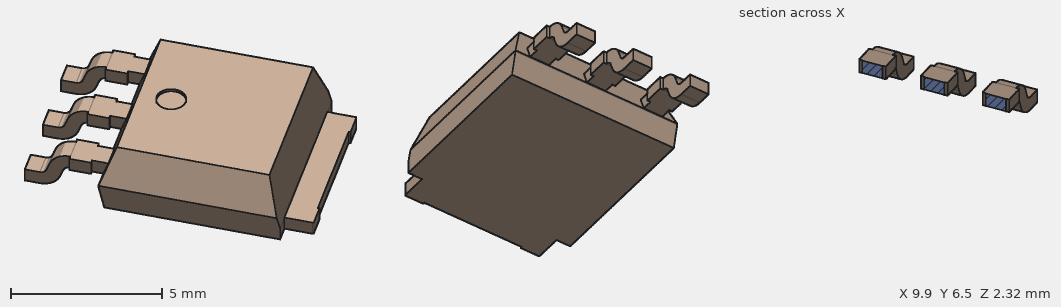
import cadquery as cq
import math

total_length = 9.9
total_height = 2.32

body_width = 6.5
belt_height = 0.92
belt_band = 0.04
body_left = 2.68
body_left_bottom = 2.88
body_right = 8.9
top_left = 3.18
top_right = 8.4
top_width = 5.5

mark_diameter = 1.0
mark_depth = 0.1
mark_x = 4.29

lead_count = 3
lead_pitch = 2.28
lead_width = 0.75
lead_thickness = 0.5
lead_step = 0.94
foot_length = 0.51
bend_inner_radius = 0.25
bend_angle = math.radians(70)
shoulder_length = 0.75
shoulder_width = 0.99
lead_end = 4.0

tab_width = 5.4
tab_thickness = 0.5
tab_notch_width = 3.9
tab_notch_depth = 0.06
tab_corner_radius = 0.04

right_slope = (body_right - top_right) / (total_height - tab_thickness)
belt_right = top_right + right_slope * (total_height - belt_height)

bend_mid_radius = bend_inner_radius + lead_thickness / 2
bend_outer_radius = bend_inner_radius + lead_thickness
straight_rise = lead_step - 2 * bend_mid_radius * (1 - math.cos(bend_angle))
straight_run = straight_rise / math.tan(bend_angle)
shoulder_start = foot_length + 2 * bend_mid_radius * math.sin(bend_angle) + straight_run


def make_body():
    lower_outline = [
        (body_left_bottom, 0),
        (body_right, 0),
        (body_right, tab_thickness),
        (belt_right, belt_height),
        (body_left, belt_height),
        (body_left, belt_height - belt_band),
    ]
    lower = (
        cq.Workplane("XZ").polyline(lower_outline).close().extrude(body_width / 2, both=True)
    )
    upper = (
        cq.Workplane("XY", origin=((body_left + belt_right) / 2, 0, belt_height))
        .rect(belt_right - body_left, body_width)
        .workplane(offset=total_height - belt_height)
        .center((top_left + top_right - body_left - belt_right) / 2, 0)
        .rect(top_right - top_left, top_width)
        .loft(ruled=True)
    )
    return lower.union(upper)


def make_mark():
    return (
        cq.Workplane("XY", origin=(mark_x, 0, total_height))
        .circle(mark_diameter / 2)
        .extrude(-mark_depth)
    )


def point_on_arc(center, radius, angle):
    """Point at an angle from straight up, turning towards -X."""
    return (center[0] - radius * math.sin(angle), center[1] + radius * math.cos(angle))


def make_lead(y):
    foot_center = (foot_length, lead_thickness + bend_inner_radius)
    knee_center = (shoulder_start, lead_step - bend_inner_radius)
    half_bend = bend_angle / 2
    lead_top = lead_step + lead_thickness

    def foot_arc(radius, angle):
        return point_on_arc(foot_center, radius, math.pi + angle)

    def knee_arc(radius, angle):
        return point_on_arc(knee_center, radius, angle)

    strip = (
        cq.Workplane("XZ", origin=(0, y, 0))
        .moveTo(0, 0)
        .lineTo(foot_length, 0)
        .threePointArc(foot_arc(bend_outer_radius, half_bend), foot_arc(bend_outer_radius, bend_angle))
        .lineTo(*knee_arc(bend_inner_radius, bend_angle))
        .threePointArc(knee_arc(bend_inner_radius, half_bend), (shoulder_start, lead_step))
        .lineTo(lead_end, lead_step)
        .lineTo(lead_end, lead_top)
        .lineTo(shoulder_start, lead_top)
        .threePointArc(knee_arc(bend_outer_radius, half_bend), knee_arc(bend_outer_radius, bend_angle))
        .lineTo(*foot_arc(bend_inner_radius, bend_angle))
        .threePointArc(foot_arc(bend_inner_radius, half_bend), (foot_length, lead_thickness))
        .lineTo(0, lead_thickness)
        .close()
        .extrude(lead_width / 2, both=True)
    )
    shoulder = cq.Workplane("XY", origin=(shoulder_start, y, lead_step)).box(
        shoulder_length, shoulder_width, lead_thickness, centered=(False, True, False)
    )
    return strip.union(shoulder)


def make_tab():
    tab_start = top_right
    plate = (
        cq.Workplane("XY", origin=(tab_start, 0, 0))
        .box(total_length - tab_start, tab_width, tab_thickness, centered=(False, True, False))
        .edges("|Z and >X")
        .fillet(tab_corner_radius)
    )
    notch = cq.Workplane("XY", origin=(total_length - tab_notch_depth, 0, 0)).box(
        tab_notch_depth, tab_notch_width, tab_thickness, centered=(False, True, False)
    )
    return plate.cut(notch)


result = make_body().cut(make_mark()).union(make_tab())
for index in range(lead_count):
    lead_y = (index - (lead_count - 1) / 2) * lead_pitch
    result = result.union(make_lead(lead_y))